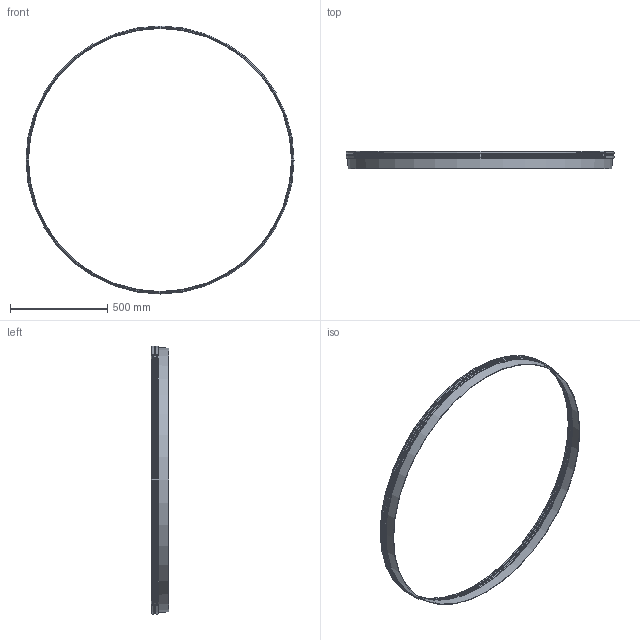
import math

import cadquery as cq

WIDTH = 89
SHEET_THICKNESS = 2

CREST_RADIUS = 1376 / 2
GROOVE_RADIUS = 1367.5 / 2
BAND_EDGE_RADIUS = 1354 / 2

BAND_WIDTH = 52
BAND_TAPER = 3
BAND_TOP_RADIUS = BAND_EDGE_RADIUS + BAND_WIDTH * math.tan(math.radians(BAND_TAPER))

CREST_WIDTH = 6.5
FLANK_WIDTH = CREST_RADIUS - GROOVE_RADIUS
RIB_WIDTH = CREST_WIDTH + 2 * FLANK_WIDTH
RIB_STARTS = (BAND_WIDTH, WIDTH - RIB_WIDTH)


def rib_points(start):
    """Outer (radius, Y) corners of one rib whose first flank begins at Y = start."""
    end = start + RIB_WIDTH
    return [
        (GROOVE_RADIUS, start),
        (CREST_RADIUS, start + FLANK_WIDTH),
        (CREST_RADIUS, end - FLANK_WIDTH),
        (GROOVE_RADIUS, end),
    ]


def inward(points):
    """Shift (radius, Y) points towards the axis by the sheet thickness."""
    return [(radius - SHEET_THICKNESS, y) for radius, y in points]


def wall_section():
    """Closed cross-section of the sheet wall."""
    band = [(BAND_EDGE_RADIUS, 0), (BAND_TOP_RADIUS, BAND_WIDTH)]
    ribs = [point for start in RIB_STARTS for point in rib_points(start)]

    outer = band + ribs
    inner = inward(band + ribs[1:])
    return cq.Workplane("XY").polyline(outer + inner[::-1]).close()


result = wall_section().revolve(360, (0, 0, 0), (0, 1, 0))